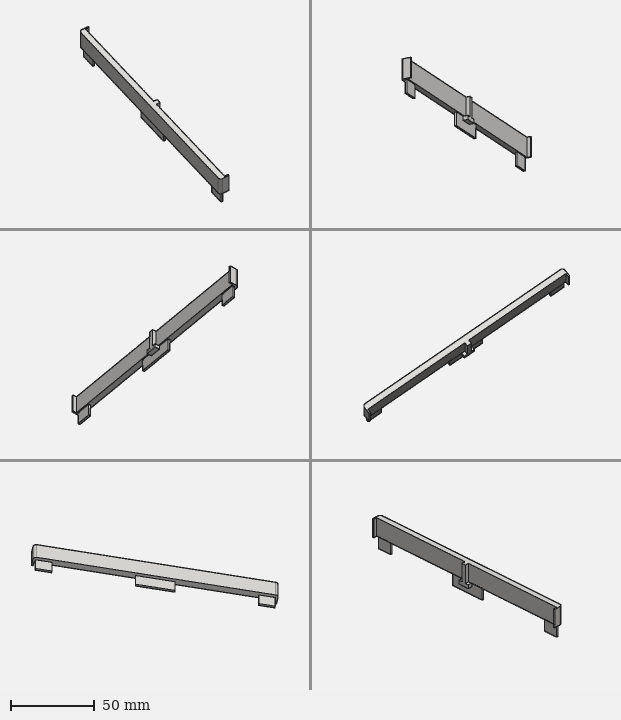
import cadquery as cq

length = 148.9
strip_thickness = 4.0
strip_height = 13.0
corner_radius = 2.0

total_depth = 6.5
lip_thickness = 1.0

tab_front = corner_radius
tab_thickness = 1.3
total_height = 21.7
tab_drop = total_height - strip_height
end_tab_width = 10.0
end_tab_inset = 1.6
center_tab_width = 24.0

rib_width = 3.0
foot_width = 7.6
foot_drop = 2.7


def block(x_center, width, y_front, y_back, z_bottom, z_top):
    """Box centred on x_center and spanning the given Y and Z limits."""
    return (
        cq.Workplane("XY", origin=(x_center, y_front, z_bottom))
        .box(width, y_back - y_front, z_top - z_bottom, centered=(True, False, False))
    )


def make_strip():
    """Front strip with end lips and rounded vertical front corners."""
    body = block(0, length, 0, total_depth, 0, strip_height)
    body = body.edges("|Z and <Y").fillet(corner_radius)
    recess_width = length - 2 * lip_thickness
    return body.cut(block(0, recess_width, strip_thickness, total_depth, 0, strip_height))


def make_tab(x_center, width):
    """Thin tab, reaching up into the strip so that the two join solidly."""
    return block(x_center, width, tab_front, tab_front + tab_thickness, -tab_drop, strip_height)


def make_rib():
    """Upright rib on the back of the strip, standing on a foot behind the center tab."""
    tab_back = tab_front + tab_thickness
    rib = block(0, rib_width, tab_back, total_depth, -foot_drop, strip_height)
    foot = block(0, foot_width, tab_back, total_depth, -foot_drop, 0)
    return rib.union(foot)


result = make_strip().union(make_rib())
result = result.union(make_tab(0, center_tab_width))
end_tab_center = length / 2 - end_tab_inset - end_tab_width / 2
for side in (-1, 1):
    result = result.union(make_tab(side * end_tab_center, end_tab_width))